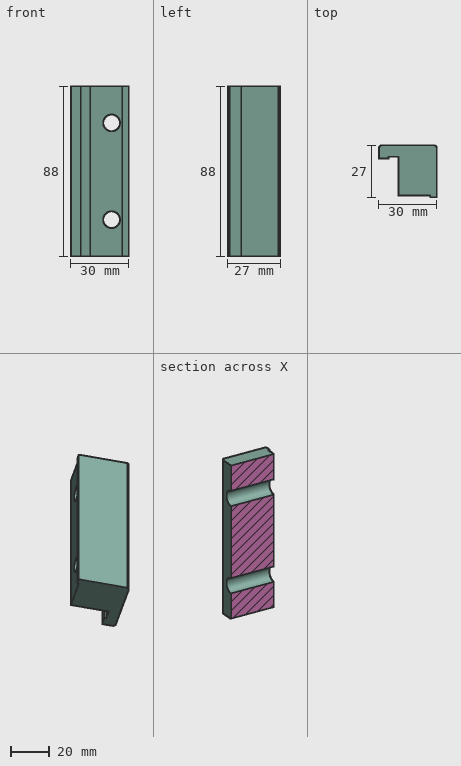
import cadquery as cq

width = 30.0
depth = 27.0
length = 88.0

lip_overhang = 10.0
pad_width = 5.0
flange_thickness = 6.1
pad_height = 0.9
foot_width = 3.5
foot_height = 0.9
edge_chamfer = 1.1

hole_diameter = 8.5
hole_x = 21.0
hole_end_distance = 19.0

relief_y = depth - flange_thickness
pad_y = relief_y - pad_height

profile = [
    (0, pad_y),
    (pad_width, pad_y),
    (pad_width, relief_y),
    (lip_overhang, relief_y),
    (lip_overhang, foot_height),
    (width - foot_width, foot_height),
    (width - foot_width, 0),
    (width, 0),
    (width, depth - edge_chamfer),
    (width - edge_chamfer, depth),
    (edge_chamfer, depth),
    (0, depth - edge_chamfer),
]
body = cq.Workplane("XY").polyline(profile).close().extrude(length)

hole_centers = [(hole_x, hole_end_distance), (hole_x, length - hole_end_distance)]
holes = (
    cq.Workplane("XZ")
    .pushPoints(hole_centers)
    .circle(hole_diameter / 2)
    .extrude(-depth)
)

result = body.cut(holes)